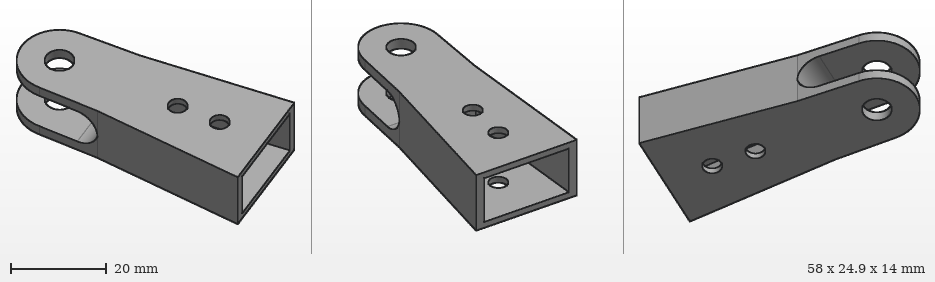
import cadquery as cq
import math

length = 58.0
end_width = 24.9
height = 14.0

head_radius = 9.0
knee_x = 22.95
knee_width = 18.55
slot_height = 9.0
slot_radius = 5.0
pin_diameter = 6.2

side_wall = 2.0
plate_wall = 1.5
cavity_start_x = 26.1
screw_diameter = 4.2
screw_positions = (37.0, 47.0)


def half_width(x):
    """Half width of the tapered body at a given distance from the head tip."""
    taper = (end_width - knee_width) / 2 / (length - knee_x)
    return knee_width / 2 + taper * (x - knee_x)


def make_body():
    """Solid with a round head, nearly parallel cheeks and a tapered tail."""
    return (
        cq.Workplane("XY")
        .moveTo(head_radius, -head_radius)
        .lineTo(knee_x, -half_width(knee_x))
        .lineTo(length, -half_width(length))
        .lineTo(length, half_width(length))
        .lineTo(knee_x, half_width(knee_x))
        .lineTo(head_radius, head_radius)
        .threePointArc((0, 0), (head_radius, -head_radius))
        .close()
        .extrude(height)
    )


def make_slot():
    """Fork slot across the full width.

    Its inner end is a quarter arc below the roof and a shorter arc of the same radius
    rising tangent from the floor. They meet in a slight crease at the knee.
    """
    roof_z = (height + slot_height) / 2
    floor_z = (height - slot_height) / 2
    roof_arc_x = knee_x - slot_radius
    crease_z = roof_z - slot_radius
    floor_arc_angle = math.acos(1 - (crease_z - floor_z) / slot_radius)
    floor_arc_x = knee_x - slot_radius * math.sin(floor_arc_angle)
    half_angle = floor_arc_angle / 2
    floor_arc_middle = (
        floor_arc_x + slot_radius * math.sin(half_angle),
        floor_z + slot_radius * (1 - math.cos(half_angle)),
    )
    roof_arc_middle = (
        roof_arc_x + slot_radius * math.cos(math.pi / 4),
        crease_z + slot_radius * math.sin(math.pi / 4),
    )
    return (
        cq.Workplane("XZ")
        .moveTo(0, floor_z)
        .lineTo(floor_arc_x, floor_z)
        .threePointArc(floor_arc_middle, (knee_x, crease_z))
        .threePointArc(roof_arc_middle, (roof_arc_x, roof_z))
        .lineTo(0, roof_z)
        .close()
        .extrude(end_width / 2, both=True)
    )


def make_cavity():
    """Tapered pocket that leaves constant walls and opens at the wide end."""
    start_y = half_width(cavity_start_x) - side_wall
    end_y = half_width(length) - side_wall
    return (
        cq.Workplane("XY")
        .workplane(offset=plate_wall)
        .polyline([
            (cavity_start_x, -start_y),
            (length, -end_y),
            (length, end_y),
            (cavity_start_x, start_y),
        ])
        .close()
        .extrude(height - 2 * plate_wall)
    )


def make_vertical_hole(x, diameter):
    """Cutter for a hole through the full height on the center line."""
    return cq.Workplane("XY").center(x, 0).circle(diameter / 2).extrude(height)


result = make_body().cut(make_slot()).cut(make_cavity())
result = result.cut(make_vertical_hole(head_radius, pin_diameter))
for screw_x in screw_positions:
    result = result.cut(make_vertical_hole(screw_x, screw_diameter))